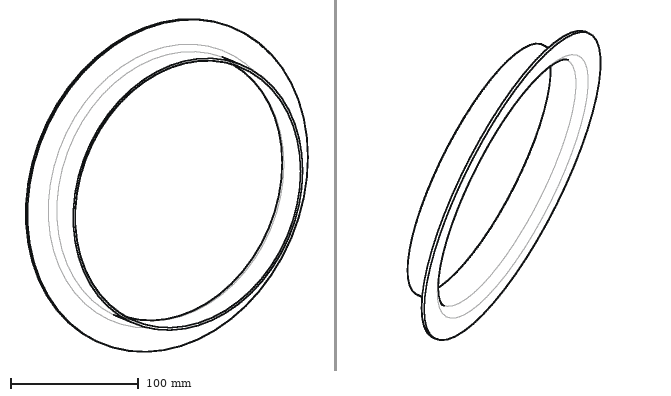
import cadquery as cq

flange_diameter = 268.0
flange_thickness = 2.5
tube_outer_diameter = 219.2
tube_inner_diameter = 215.2
total_length = 30.0
inner_bend_radius = 7.0
outer_bend_radius = 4.8

flange_radius = flange_diameter / 2
outer_radius = tube_outer_diameter / 2
bore_radius = tube_inner_diameter / 2


def flanged_collar():
    """Flat flange at X = 0 that bends into a thin cylindrical tube towards +X."""
    half_section = (
        cq.Workplane("XY")
        .moveTo(0, flange_radius)
        .lineTo(flange_thickness, flange_radius)
        .lineTo(flange_thickness, outer_radius + outer_bend_radius)
        .radiusArc((flange_thickness + outer_bend_radius, outer_radius), -outer_bend_radius)
        .lineTo(total_length, outer_radius)
        .lineTo(total_length, bore_radius)
        .lineTo(inner_bend_radius, bore_radius)
        .radiusArc((0, bore_radius + inner_bend_radius), inner_bend_radius)
        .close()
    )
    return half_section.revolve(360, (0, 0, 0), (1, 0, 0))


result = flanged_collar()